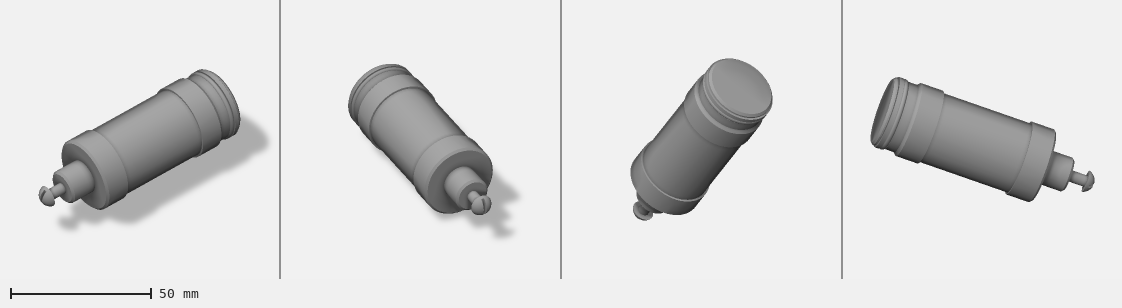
import cadquery as cq
import math

overall_length = 80.4
rear_y = overall_length / 2
front_y = -overall_length / 2

cap_diameter = 27.4
barrel_diameter = 25.9
plug_diameter = 25.3
seal_diameter = 26.45
seal_groove_diameter = 22.8
boss_diameter = 12.7
screw_shank_diameter = 4.2
screw_head_diameter = 7.95

plug_length = 8.85
cap_shoulder_length = 1.1
rear_cap_length = 18.2
barrel_length = 33.75
front_cap_length = 9.25
boss_length = 9.7
edge_chamfer = 0.8

rear_lip_length = 1.4
seal_groove_width = 3.85
backup_ring_offset = 0.3
backup_ring_width = 1.6

head_height = 3.05
slot_width = 1.1
slot_depth = 1.9

barrel_rear_y = rear_y - rear_cap_length
barrel_front_y = barrel_rear_y - barrel_length
cap_front_y = barrel_front_y - front_cap_length
boss_front_y = cap_front_y - boss_length
screw_end_y = cap_front_y
head_base_y = front_y + head_height
groove_rear_y = rear_y - rear_lip_length
groove_front_y = groove_rear_y - seal_groove_width


def cylinder(diameter, start_y, end_y):
    """Solid cylinder on the Y axis from start_y up to end_y."""
    base = cq.Workplane("XZ", origin=(0, start_y, 0))
    return base.circle(diameter / 2).extrude(start_y - end_y)


def ring(outer_diameter, inner_diameter, start_y, end_y):
    """Flat-sided ring on the Y axis."""
    return cylinder(outer_diameter, start_y, end_y).cut(cylinder(inner_diameter, start_y, end_y))


def make_rear_cap():
    """Cap with a sloping shoulder and a grooved plug that carries the seals."""
    plug_radius = plug_diameter / 2
    cap_radius = cap_diameter / 2
    shoulder_rear_y = rear_y - plug_length
    profile = (
        cq.Workplane("XY")
        .moveTo(0, barrel_rear_y)
        .lineTo(cap_radius, barrel_rear_y)
        .lineTo(cap_radius, shoulder_rear_y - cap_shoulder_length)
        .lineTo(plug_radius, shoulder_rear_y)
        .lineTo(plug_radius, rear_y - edge_chamfer)
        .lineTo(plug_radius - edge_chamfer, rear_y)
        .lineTo(0, rear_y)
        .close()
    )
    cap = profile.revolve(360, (0, 0, 0), (0, 1, 0))
    groove = ring(cap_diameter, seal_groove_diameter, groove_front_y, groove_rear_y)
    return cap.cut(groove)


def make_backup_ring():
    """Rectangular-section ring at the rear of the seal groove."""
    ring_rear_y = groove_rear_y - backup_ring_offset
    return ring(seal_diameter, seal_groove_diameter, ring_rear_y - backup_ring_width, ring_rear_y)


def make_o_ring():
    """Round-section ring centred between the back-up ring and the groove's front wall."""
    section_radius = (seal_diameter - seal_groove_diameter) / 4
    centre_radius = (seal_diameter + seal_groove_diameter) / 4
    backup_front_y = groove_rear_y - backup_ring_offset - backup_ring_width
    centre_y = (backup_front_y + groove_front_y) / 2
    section = cq.Workplane("XY").center(centre_radius, centre_y).circle(section_radius)
    return section.revolve(360, (-centre_radius, 0, 0), (-centre_radius, 1, 0))


def make_barrel():
    """Plain barrel between the two caps."""
    return cylinder(barrel_diameter, barrel_front_y, barrel_rear_y)


def make_front_cap():
    """Cap with a central boss, both chamfered at the front, and a blind hole for the screw."""
    cap = cylinder(cap_diameter, cap_front_y, barrel_front_y).faces("<Y").chamfer(edge_chamfer)
    boss = cylinder(boss_diameter, boss_front_y, cap_front_y).faces("<Y").chamfer(edge_chamfer)
    screw_hole = cylinder(screw_shank_diameter, boss_front_y, screw_end_y)
    return cap.union(boss).cut(screw_hole)


def make_screw():
    """Domed screw with a straight slot along Z."""
    head_radius = screw_head_diameter / 2
    dome_radius = (head_radius**2 + head_height**2) / (2 * head_height)
    tip_loss = dome_radius - math.sqrt(dome_radius**2 - (slot_width / 2) ** 2)
    dome_centre_y = front_y - tip_loss + dome_radius
    dome = cq.Workplane("XY").sphere(dome_radius).translate((0, dome_centre_y, 0))
    head = dome.intersect(cylinder(cap_diameter, front_y - head_height, head_base_y))
    slot = cq.Workplane("XY").box(slot_width, 2 * slot_depth, 2 * screw_head_diameter)
    head = head.cut(slot.translate((0, front_y, 0)))
    shank = cylinder(screw_shank_diameter, head_base_y, screw_end_y)
    return head.union(shank)


rear_cap = make_rear_cap()
backup_ring = make_backup_ring()
o_ring = make_o_ring()
barrel = make_barrel()
front_cap = make_front_cap()
screw = make_screw()

result = cq.Compound.makeCompound([
    rear_cap.val(),
    backup_ring.val(),
    o_ring.val(),
    barrel.val(),
    front_cap.val(),
    screw.val(),
])